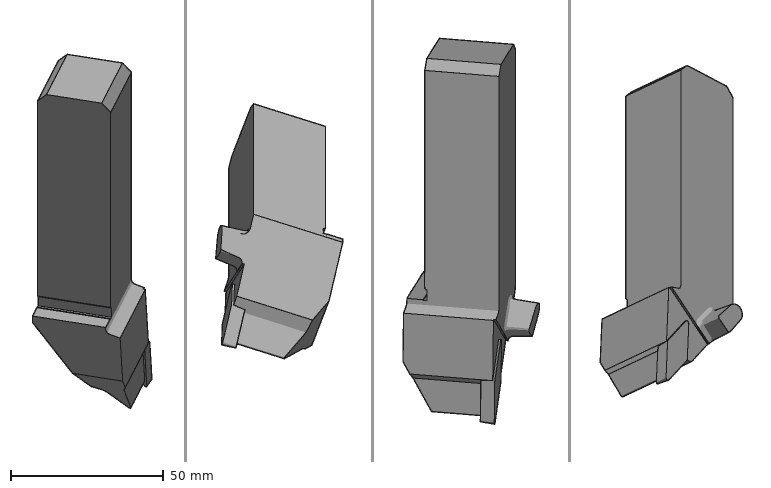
import cadquery as cq
import math


total_height = 123
shank_size = 25.0
end_chamfer = 3.1

head_depth = 31.0
ledge_z = 39.2
head_top_right_x = 29.9
head_top_right_z = 35.9
head_top_slope = 14
shoulder_radius = 1.7
flank_start_z = 36.7
front_bevel_z = 19.2
front_bevel_angle = 30

groove_depth = 0.7
groove_top_z = 42.5
groove_sink = 0.2
groove_front_y = 25.5

nose_angle = 35
lead_angle = 3
flank_angle = nose_angle + lead_angle
insert_edge = 16.6
insert_thickness = 4.8
insert_clearance = 5
nose_radius = 0.8
nose_right_x = 32

seat_inset = 1.03
jaw_tip_radius = 0.4
knee_z = 12.4
jaw_root_z = 11.3
jaw_root_radius = 4.9
right_step_top_z = 15.1
right_step_bottom_z = 13.5
recess_depth = 0.7
recess_flank_z = 22.0

boss_x = 8.2
boss_z = 31.6
boss_height = 9.3
boss_tip_radius = 3.0
boss_length = 7.6
boss_flank_corner_radius = 1.0
boss_upper_corner_radius = 0.6
boss_flank_half_width = 3.3
boss_upper_half_width = 3.1
boss_draft = 4.5
boss_fillet = 1.7
boss_end_slope = 8


def direction_up(angle):
    """Unit X, Z direction pointing up and to the left, at an angle in degrees from vertical."""
    return -math.sin(math.radians(angle)), math.cos(math.radians(angle))


def along(start, direction, distance):
    """X, Z point at a distance from the start along a unit direction."""
    return start[0] + direction[0] * distance, start[1] + direction[1] * distance


def slide_to_z(start, direction, z):
    """X, Z point at the given height on the line through the start."""
    return along(start, direction, (z - start[1]) / direction[1])


flank_up = direction_up(flank_angle)
lead_up = direction_up(lead_angle)
axis_up = direction_up((flank_angle + lead_angle) / 2)
half_nose_sine = math.sin(math.radians(nose_angle / 2))

nose_center = (nose_right_x - nose_radius, nose_radius)
nose_corner = along(nose_center, axis_up, -nose_radius / half_nose_sine)
jaw_corner = along(nose_corner, axis_up, seat_inset / half_nose_sine)
head_top_right = (head_top_right_x, head_top_right_z)
flank_start = (0, flank_start_z)


def prism(points, depth):
    """X, Z outline extruded from the back face toward -Y, or toward +Y for a negative depth."""
    return cq.Workplane("XZ").polyline(points).close().extrude(depth)


def round_edge(body, point, radius):
    """Round the edge along Y that passes through an X, Z point."""
    x, z = point
    edge = cq.selectors.NearestToPointSelector((x, -head_depth / 2, z))
    return body.edges("|Y").edges(edge).fillet(radius)


def boss_plane(y):
    """Plane facing -Y at the boss centre, with its x axis running down along the flank."""
    return cq.Plane(
        origin=(boss_x, y, boss_z), xDir=(-flank_up[0], 0, -flank_up[1]), normal=(0, -1, 0)
    )


def make_boss():
    """Drafted boss, round at its upper left end and widening slightly down along the flank."""
    upper_corner = (
        boss_length - boss_upper_corner_radius,
        boss_upper_half_width - boss_upper_corner_radius,
    )
    flank_corner = (
        boss_length - boss_flank_corner_radius,
        boss_flank_corner_radius - boss_flank_half_width,
    )
    outline = (
        cq.Sketch()
        .arc((0, 0), boss_tip_radius, 0, 360)
        .arc(upper_corner, boss_upper_corner_radius, 0, 360)
        .arc(flank_corner, boss_flank_corner_radius, 0, 360)
        .hull()
    )
    boss = (
        cq.Workplane(boss_plane(boss_height))
        .placeSketch(outline)
        .extrude(boss_height, taper=-boss_draft)
    )
    reach = 2 * boss_length
    drop = reach * math.tan(math.radians(boss_end_slope))
    end_cut = (
        cq.Workplane(boss_plane(0).rotated((90, 0, 0)))
        .polyline([
            (-boss_tip_radius, -boss_height),
            (reach - boss_tip_radius, -boss_height),
            (reach - boss_tip_radius, drop - boss_height),
        ])
        .close()
        .extrude(reach, both=True)
    )
    return boss.cut(end_cut)


def make_shank_and_head():
    """Full outline before the flank and the jaw are cut."""
    shoulder_rise = (head_top_right_x - shank_size) * math.tan(math.radians(head_top_slope))
    shoulder = (shank_size, head_top_right_z + shoulder_rise)
    outline = [
        (0, 0),
        slide_to_z(head_top_right, lead_up, 0),
        head_top_right,
        shoulder,
        (shank_size, total_height),
        (0, total_height),
    ]
    body = round_edge(prism(outline, head_depth), shoulder, shoulder_radius)
    return body.faces(">Z").edges("|Y").chamfer(end_chamfer)


def make_front_cut():
    """Removes what lies in front of the shank, the relief groove and the front bevel."""
    groove_floor_y = shank_size - groove_depth
    bevel_run = front_bevel_z * math.tan(math.radians(front_bevel_angle))
    above_ledge = [
        (-shank_size, total_height),
        (-shank_size, groove_top_z + groove_depth),
        (-groove_floor_y, groove_top_z),
        (-groove_floor_y, ledge_z - groove_sink),
        (-groove_front_y, ledge_z - groove_sink),
        (-groove_front_y, ledge_z),
        (-head_depth, ledge_z),
        (-head_depth, total_height),
    ]
    bevel = [(-head_depth, front_bevel_z), (-head_depth, 0), (bevel_run - head_depth, 0)]
    side = cq.Workplane("YZ")
    ledge_cut = side.polyline(above_ledge).close().extrude(nose_right_x)
    bevel_cut = side.polyline(bevel).close().extrude(nose_right_x)
    return ledge_cut.union(bevel_cut)


def make_lower_envelope():
    """Outline with the flank, knee and jaw; behind Y = 0 it is bounded by the flank alone."""
    knee = slide_to_z(flank_start, flank_up, knee_z)
    jaw_root = slide_to_z(jaw_corner, flank_up, jaw_root_z)
    outline = [
        flank_start,
        knee,
        jaw_root,
        jaw_corner,
        slide_to_z(jaw_corner, lead_up, right_step_bottom_z),
        slide_to_z(head_top_right, lead_up, right_step_top_z),
        (nose_right_x, right_step_top_z),
        (nose_right_x, total_height),
        (0, total_height),
    ]
    envelope = prism(outline, head_depth)
    envelope = round_edge(envelope, jaw_root, jaw_root_radius)
    envelope = round_edge(envelope, jaw_corner, jaw_tip_radius)
    boss_outline = [
        flank_start,
        knee,
        (nose_right_x, knee_z),
        (nose_right_x, total_height),
        (0, total_height),
    ]
    return envelope.union(prism(boss_outline, -boss_height))


def make_recess():
    """Shallow step around the insert, its edge square to the flank."""
    start = slide_to_z(flank_start, flank_up, recess_flank_z)
    end = along(start, (flank_up[1], -flank_up[0]), head_depth)
    return prism([start, end, (end[0], 0), (start[0], 0)], recess_depth)


def make_insert():
    """Rounded rhombus, largest at the back face and narrowing toward -Y."""
    far_left = along(nose_corner, flank_up, insert_edge)
    right = along(nose_corner, lead_up, insert_edge)
    far_corner = along(far_left, lead_up, insert_edge)
    blank = prism([nose_corner, right, far_corner, far_left], insert_thickness)
    rounded = blank.edges("|Y").fillet(nose_radius)
    return (
        rounded.faces(">Y").wires().toPending().workplane(invert=True)
        .extrude(insert_thickness, taper=insert_clearance, combine=False)
    )


insert = make_insert()

holder = make_shank_and_head().union(make_boss())
boss_root = cq.selectors.BoxSelector(
    (0, -boss_fillet, 0), (shank_size, boss_fillet, ledge_z), boundingbox=True
)
holder = holder.edges(boss_root).fillet(boss_fillet)
holder = holder.cut(make_front_cut())
holder = holder.intersect(make_lower_envelope())
holder = holder.cut(make_recess())
holder = holder.cut(insert)

result = cq.Compound.makeCompound([holder.val(), insert.val()])